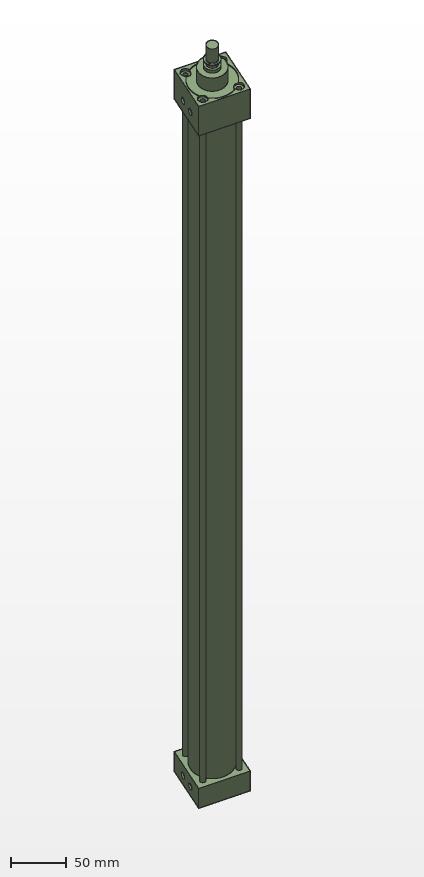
import cadquery as cq

total_height = 949.0
cap_width = 51.0

rear_cap_top = 26.0
head_bottom = 867.0
head_top = 905.0
collar_top = 921.0
rod_shoulder = 925.0
ring_bottom = 930.0

barrel_diameter = 44.0
tie_rod_diameter = 6.0
corner_offset = 18.0

collar_diameter = 28.5
face_recess_diameter = 47.0
face_recess_depth = 1.0
counterbore_diameter = 9.5
counterbore_depth = 3.0
corner_hole_diameter = 5.0
corner_hole_depth = 14.0

rod_diameter = 16.0
thread_diameter = 11.0
ring_thickness = 1.0

port_mouth_diameter = 7.0
port_mouth_depth = 2.0
port_drill_diameter = 4.0
port_depth = 8.0
port_offset = 8.0
port_inset = 14.0
rear_port_height = rear_cap_top - port_inset
head_port_height = head_bottom + port_inset


def cylinder(diameter, bottom, top):
    """Upright cylinder on the main axis."""
    return cq.Workplane("XY", origin=(0, 0, bottom)).circle(diameter / 2).extrude(top - bottom)


def corner_cylinders(diameter, bottom, top):
    """Four upright cylinders, one at each corner position."""
    return (
        cq.Workplane("XY", origin=(0, 0, bottom))
        .rect(2 * corner_offset, 2 * corner_offset, forConstruction=True)
        .vertices()
        .circle(diameter / 2)
        .extrude(top - bottom)
    )


def square_block(bottom, top):
    return cq.Workplane("XY", origin=(0, 0, bottom)).rect(cap_width, cap_width).extrude(top - bottom)


def side_hole_pair(diameter, depth, height):
    """Two plugs running inward from the -Y side of a cap."""
    return (
        cq.Workplane("XZ", origin=(0, -cap_width / 2, height))
        .pushPoints([(-port_offset, 0), (port_offset, 0)])
        .circle(diameter / 2)
        .extrude(-depth)
    )


def port_pair(height):
    mouths = side_hole_pair(port_mouth_diameter, port_mouth_depth, height)
    return mouths.union(side_hole_pair(port_drill_diameter, port_depth, height))


def make_rear_cap():
    """Rear cap in one piece with the tie rods that reach up to the head."""
    cap = square_block(0, rear_cap_top).cut(port_pair(rear_port_height))
    return cap.union(corner_cylinders(tie_rod_diameter, rear_cap_top, head_bottom))


def make_barrel():
    return cylinder(barrel_diameter, rear_cap_top, head_bottom)


def make_head():
    recess_floor = head_top - face_recess_depth
    head = square_block(head_bottom, head_top)
    head = head.cut(cylinder(face_recess_diameter, recess_floor, head_top))
    head = head.union(cylinder(collar_diameter, recess_floor, collar_top))
    head = head.cut(port_pair(head_port_height))
    head = head.cut(corner_cylinders(counterbore_diameter, head_top - counterbore_depth, head_top))
    head = head.cut(corner_cylinders(corner_hole_diameter, head_top - corner_hole_depth, head_top))
    return head.cut(cylinder(rod_diameter, head_bottom, collar_top))


def make_rod():
    shank = cylinder(rod_diameter, head_bottom, rod_shoulder)
    threaded_end = cylinder(thread_diameter, rod_shoulder, total_height)
    ring = cylinder(rod_diameter, ring_bottom, ring_bottom + ring_thickness)
    return shank.union(threaded_end).union(ring)


rear_cap = make_rear_cap()
barrel = make_barrel()
head = make_head()
rod = make_rod()

result = cq.Compound.makeCompound([rear_cap.val(), barrel.val(), head.val(), rod.val()])